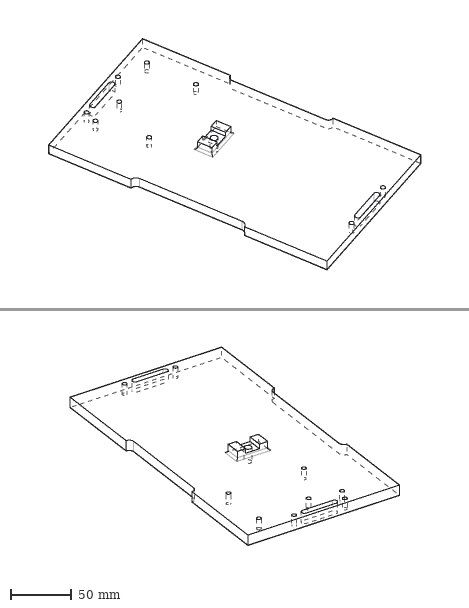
import cadquery as cq

plate_length = 270.0
plate_width = 150.0
plate_thickness = 10.0
overall_height = 18.0

notch_depth = 4.5
front_notch_length = 110.2
front_notch_radius = 5.5
back_notch_length = 99.5
back_notch_radius = 4.3

slot_length = 35.0
slot_width = 5.5
slot_center_x = 128.5
small_hole_diameter = 4.0
slot_hole_offset_y = 25.0

left_hole_points = [
    (-117.0, 52.5),
    (-117.0, -30.0),
    (-112.0, 0),
    (-68.5, 51.0),
    (-68.5, -23.8),
]

block_center_x = -20.0
block_length = 14.0
block_width = 30.0
foot_radius = 2.02
channel_width = 13.5
channel_depth = 4.3
block_hole_diameter = 6.5


def edge_notch(length, radius, side):
    """Notch with rounded inner corners; side is +1 for the back edge, -1 for the front."""
    depth = notch_depth + 2 * radius
    center_y = side * (plate_width / 2 - notch_depth + depth / 2)
    return (
        cq.Workplane("XY")
        .center(0, center_y)
        .rect(length, depth)
        .extrude(plate_thickness)
        .edges("|Z and <Y" if side > 0 else "|Z and >Y")
        .fillet(radius)
    )


plate = cq.Workplane("XY").rect(plate_length, plate_width).extrude(plate_thickness)
plate = plate.cut(edge_notch(front_notch_length, front_notch_radius, -1))
plate = plate.cut(edge_notch(back_notch_length, back_notch_radius, 1))

block = (
    cq.Workplane("XY")
    .center(block_center_x, 0)
    .rect(block_length, block_width)
    .extrude(overall_height)
)
foot_reach_x = block_length / 2 + foot_radius
foot_reach_y = block_width / 2 + foot_radius
foot_edges = cq.selectors.BoxSelector(
    (block_center_x - foot_reach_x, -foot_reach_y, plate_thickness - foot_radius / 2),
    (block_center_x + foot_reach_x, foot_reach_y, plate_thickness + foot_radius / 2),
)
body = plate.union(block).edges(foot_edges).fillet(foot_radius)

channel = (
    cq.Workplane("XY", origin=(block_center_x, 0, overall_height - channel_depth))
    .rect(block_length, channel_width)
    .extrude(channel_depth)
)
body = body.cut(channel)

slots = (
    cq.Workplane("XY")
    .pushPoints([(-slot_center_x, 0), (slot_center_x, 0)])
    .slot2D(slot_length, slot_width, 90)
    .extrude(plate_thickness)
)
slot_hole_points = [
    (side * slot_center_x, end * slot_hole_offset_y)
    for side in (-1, 1)
    for end in (-1, 1)
]
small_holes = (
    cq.Workplane("XY")
    .pushPoints(slot_hole_points + left_hole_points)
    .circle(small_hole_diameter / 2)
    .extrude(plate_thickness)
)
block_hole = (
    cq.Workplane("XY")
    .center(block_center_x, 0)
    .circle(block_hole_diameter / 2)
    .extrude(overall_height)
)
result = body.cut(slots).cut(small_holes).cut(block_hole)